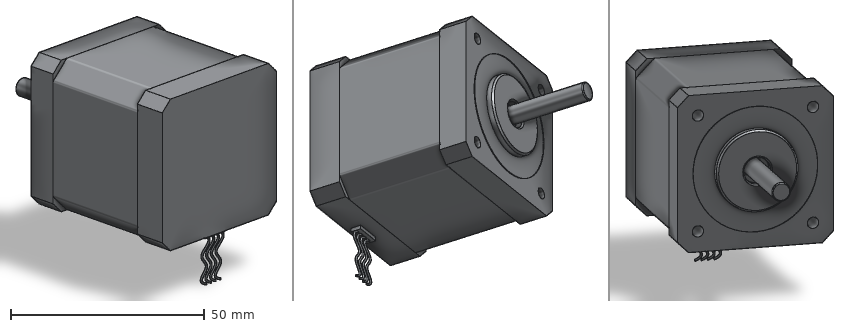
import cadquery as cq


overall_length = 71.7
frame_size = 42.0
half_frame = frame_size / 2
mounting_face_x = 24.0
front_cap_length = 8.0
rear_cap_length = 9.0
core_start_x = mounting_face_x + front_cap_length
rear_cap_start_x = overall_length - rear_cap_length
core_length = rear_cap_start_x - core_start_x
cap_corner_chamfer = 3.0
core_corner_chamfer = 5.0
core_edge_radius = 1.0

hole_spacing = 31.0
hole_diameter = 3.0

disc_diameter = 33.55
disc_thickness = 0.2
boss_diameter = 22.0
boss_height = 2.0
boss_chamfer = 0.5
boss_face_x = mounting_face_x - boss_height

bore_diameter = 7.2
bore_chamfer = 0.4

shaft_diameter = 5.0
shaft_chamfer = 0.3

outlet_center_x = 68.6
outlet_length = 2.95
outlet_width = 7.25
outlet_height = 1.1
outlet_bottom_z = -half_frame - outlet_height
wire_count = 4
wire_pitch = 1.7
wire_diameter = 0.6
wire_path = [(-0.2, -0.2), (1.8, 2.1), (-0.7, 5.5), (0.9, 8.6), (-0.9, 11.75), (0.8, 13.4)]


def square_block(start_x, length, corner_chamfer):
    """Square block along X with its four long corners cut at 45 degrees."""
    block = cq.Workplane("YZ", origin=(start_x, 0, 0)).rect(frame_size, frame_size).extrude(length)
    return block.edges("|X").chamfer(corner_chamfer)


def cylinder(start_x, length, diameter):
    """Cylinder on the motor axis."""
    return cq.Workplane("YZ", origin=(start_x, 0, 0)).circle(diameter / 2).extrude(length)


def make_front_cap():
    """Front cap with mounting holes, the shaft bore and a shallow seat for the pilot plate."""
    cap = square_block(mounting_face_x, front_cap_length, cap_corner_chamfer)
    holes = (
        cq.Workplane("YZ", origin=(mounting_face_x, 0, 0))
        .rect(hole_spacing, hole_spacing, forConstruction=True)
        .vertices()
        .circle(hole_diameter / 2)
        .extrude(front_cap_length)
    )
    bore = cylinder(mounting_face_x, front_cap_length, bore_diameter)
    disc_seat = cylinder(mounting_face_x, disc_thickness, disc_diameter)
    return cap.cut(holes).cut(bore).cut(disc_seat)


def make_pilot_plate():
    """Thin disc with a chamfered boss and a bore with a chamfered mouth."""
    boss = cylinder(boss_face_x, boss_height, boss_diameter)
    boss = boss.faces("<X").edges().chamfer(boss_chamfer)
    disc = cylinder(mounting_face_x, disc_thickness, disc_diameter)
    bore = cylinder(boss_face_x, boss_height + disc_thickness, bore_diameter)
    plate = disc.union(boss).cut(bore)
    bore_mouth = cq.selectors.RadiusNthSelector(0)
    return plate.faces("<X").edges(bore_mouth).chamfer(bore_chamfer)


def make_core():
    """Core with wider corner cuts than the caps and rounded long edges."""
    core = square_block(core_start_x, core_length, core_corner_chamfer)
    return core.edges("|X").fillet(core_edge_radius)


def make_wire(start_y):
    """Round wire swept along its wavy centre line in the YZ plane."""
    points = [(start_y + shift, outlet_bottom_z - drop) for shift, drop in wire_path]
    path = cq.Workplane("YZ", origin=(outlet_center_x, 0, 0)).spline(points)
    centre_line = path.val()
    section = cq.Plane(centre_line.startPoint(), xDir=(1, 0, 0), normal=centre_line.tangentAt(0))
    return cq.Workplane(section).circle(wire_diameter / 2).sweep(path)


def make_rear_cap():
    """Rear cap with the cable outlet on its underside and the wires hanging from it."""
    cap = square_block(rear_cap_start_x, rear_cap_length, cap_corner_chamfer)
    outlet = (
        cq.Workplane("XY", origin=(outlet_center_x, 0, outlet_bottom_z))
        .rect(outlet_length, outlet_width)
        .extrude(outlet_height)
    )
    cap = cap.union(outlet)
    for index in range(wire_count):
        start_y = ((wire_count - 1) / 2 - index) * wire_pitch
        cap = cap.union(make_wire(start_y))
    return cap


def make_shaft():
    """Plain shaft from its chamfered tip to the front face of the core."""
    shaft = cylinder(0, core_start_x, shaft_diameter)
    return shaft.faces("<X").edges().chamfer(shaft_chamfer)


front_cap = make_front_cap()
pilot_plate = make_pilot_plate()
core = make_core()
rear_cap = make_rear_cap()
shaft = make_shaft()

bodies = [front_cap, pilot_plate, core, rear_cap, shaft]
result = cq.Compound.makeCompound([body.solids().val() for body in bodies])